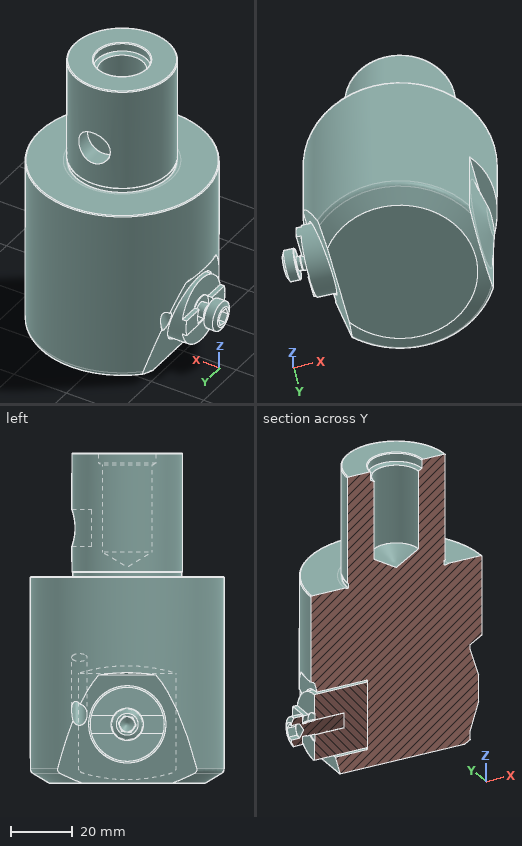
import cadquery as cq
import math

TOTAL_HEIGHT = 107.2
BODY_RADIUS = 31.5
BODY_HEIGHT = 67.2
SHANK_RADIUS = 18.0
RIM_CHAMFER = 0.3

BOTTOM_CONE_RADIUS = 25.2
BOTTOM_CONE_HEIGHT = 3.8
BOTTOM_FILLET = 2.0

RELIEF_DEPTH = 0.3
RELIEF_HEIGHT = 1.5
RELIEF_OUTER_RADIUS = 19.1

BORE_RADIUS = 8.0
BORE_DEPTH = 32.2
BORE_TIP_ANGLE = 118.0
COUNTERBORE_RADIUS = 9.3
COUNTERBORE_DEPTH = 3.2
COUNTERSINK_SLOPE = 30.0

CLAMP_HOLE_RADIUS = 6.0
CLAMP_HOLE_Z = 82.9
CLAMP_HOLE_DEPTH = 6.4

SLANT_ANGLE = 15.0
SLANT_BOTTOM_X = -20.7
SLANT_TOP_Z = 35.2
RAMP_ANGLE = 30.0

FLAT_X = 27.2
FLAT_TOP_Z = 35.7
BUMP_BASE_RADIUS = 14.8
BUMP_TIP_RADIUS = 4.9
BUMP_END_X = 30.3

JET_RADIUS = 2.52
JET_Y = 15.5
JET_Z = 22.3
JET_ANGLE = 60.0
JET_DEPTH = 21.4

AXIS_Z = 19.2
SLIDE_RADIUS = 12.0
SLIDE_CLEARANCE = 0.5
SLIDE_FACE_X = -30.2
SLIDE_INNER_X = -10.7
KEY_HEIGHT = 1.6
KEY_WIDTH = 5.8
RECESS_RADIUS = 4.9
RECESS_DEPTH = 1.9

HEAD_END_X = -38.6
HEAD_RADIUS = 5.3
HEAD_LENGTH = 4.3
HEAD_FACE_RADIUS = 3.5
HEAD_BEVEL = 0.9
HEAD_REAR_CHAMFER = 0.2
NECK_RADIUS = 2.4
NECK_LENGTH = 1.3
THREAD_RADIUS = 2.6
THREAD_CHAMFER = 0.3
SCREW_INNER_X = -19.3
SOCKET_FLATS = 5.0
SOCKET_DEPTH = 3.0
SOCKET_TIP_ANGLE = 120.0
SOCKET_TURN = 8.0

CUT_MARGIN = 5.4
EDGE_MARGIN = 1.1


def tan_deg(angle):
    return math.tan(math.radians(angle))


def rod_along_x(x_start, x_end, radius):
    """Cylinder on the slide axis between two X positions."""
    rod = cq.Workplane("YZ", origin=(x_start, 0, AXIS_Z)).circle(radius)
    return rod.extrude(x_end - x_start)


def revolve_about_z(points):
    """Solid turned from (radius, z) points."""
    return cq.Workplane("XZ").polyline(points).close().revolve(360, (0, 0), (0, 1))


def revolve_about_slide_axis(points):
    """Solid turned from (x, radius) points around the slide axis."""
    profile = cq.Workplane("XZ", origin=(0, 0, AXIS_Z)).polyline(points).close()
    return profile.revolve(360, (0, 0), (1, 0))


def turned_blank():
    body = revolve_about_z([
        (0, 0),
        (BOTTOM_CONE_RADIUS, 0),
        (BODY_RADIUS, BOTTOM_CONE_HEIGHT),
        (BODY_RADIUS, BODY_HEIGHT),
        (0, BODY_HEIGHT),
    ])
    body = body.faces(">Z").chamfer(RIM_CHAMFER)
    half_box = BODY_RADIUS + EDGE_MARGIN
    cone_edge = cq.selectors.BoxSelector(
        (-half_box, -half_box, BOTTOM_CONE_HEIGHT - EDGE_MARGIN),
        (half_box, half_box, BOTTOM_CONE_HEIGHT + EDGE_MARGIN),
        boundingbox=True,
    )
    body = body.edges(cone_edge).fillet(BOTTOM_FILLET)
    shank = cq.Workplane("XY").circle(SHANK_RADIUS).extrude(TOTAL_HEIGHT)
    return body.union(shank.faces(">Z").chamfer(RIM_CHAMFER))


def relief_groove():
    inner_radius = SHANK_RADIUS - RELIEF_DEPTH
    groove_bottom = BODY_HEIGHT - RELIEF_DEPTH
    groove_top = BODY_HEIGHT + RELIEF_HEIGHT
    return revolve_about_z([
        (inner_radius, groove_bottom),
        (SHANK_RADIUS, groove_bottom),
        (RELIEF_OUTER_RADIUS, BODY_HEIGHT),
        (RELIEF_OUTER_RADIUS, groove_top),
        (SHANK_RADIUS, groove_top),
        (inner_radius, groove_top - RELIEF_DEPTH),
    ])


def shank_bore():
    counterbore_z = TOTAL_HEIGHT - COUNTERBORE_DEPTH
    countersink_z = counterbore_z - (COUNTERBORE_RADIUS - BORE_RADIUS) * tan_deg(COUNTERSINK_SLOPE)
    bore_bottom_z = TOTAL_HEIGHT - BORE_DEPTH
    tip_z = bore_bottom_z - BORE_RADIUS / tan_deg(BORE_TIP_ANGLE / 2)
    mouth_radius = COUNTERBORE_RADIUS + RIM_CHAMFER
    return revolve_about_z([
        (0, tip_z),
        (BORE_RADIUS, bore_bottom_z),
        (BORE_RADIUS, countersink_z),
        (COUNTERBORE_RADIUS, counterbore_z),
        (COUNTERBORE_RADIUS, TOTAL_HEIGHT - RIM_CHAMFER),
        (mouth_radius, TOTAL_HEIGHT),
        (0, TOTAL_HEIGHT),
    ])


def clamp_hole():
    hole = cq.Workplane("XZ", origin=(0, SHANK_RADIUS, CLAMP_HOLE_Z)).circle(CLAMP_HOLE_RADIUS)
    return hole.extrude(CLAMP_HOLE_DEPTH)


def slant_x(z):
    """X of the slanted flat at a height."""
    return SLANT_BOTTOM_X - z * tan_deg(SLANT_ANGLE)


def side_cutter(outline):
    """Prism right across the body in Y from (x, z) points."""
    half_length = BODY_RADIUS + CUT_MARGIN
    return cq.Workplane("XZ").polyline(outline).close().extrude(half_length, both=True)


def slant_cutter():
    outer_x = -BODY_RADIUS - CUT_MARGIN
    top_x = slant_x(SLANT_TOP_Z)
    ramp_rise = (top_x - outer_x) * tan_deg(RAMP_ANGLE)
    return side_cutter([
        (slant_x(-CUT_MARGIN), -CUT_MARGIN),
        (top_x, SLANT_TOP_Z),
        (outer_x, SLANT_TOP_Z + ramp_rise),
        (outer_x, -CUT_MARGIN),
    ])


def flat_cutter():
    outer_x = BODY_RADIUS + CUT_MARGIN
    ramp_rise = (outer_x - FLAT_X) * tan_deg(RAMP_ANGLE)
    return side_cutter([
        (FLAT_X, -CUT_MARGIN),
        (FLAT_X, FLAT_TOP_Z),
        (outer_x, FLAT_TOP_Z + ramp_rise),
        (outer_x, -CUT_MARGIN),
    ])


def flat_bump():
    """Low cone standing on the +X flat, rooted in the body."""
    return revolve_about_slide_axis([
        (0, 0),
        (FLAT_X, BUMP_BASE_RADIUS),
        (BUMP_END_X, BUMP_TIP_RADIUS),
        (BUMP_END_X, 0),
    ])


def jet_hole():
    slope = math.radians(JET_ANGLE)
    direction = cq.Vector(math.cos(slope), 0, math.sin(slope))
    mouth = cq.Vector(slant_x(JET_Z), JET_Y, JET_Z)
    start = mouth - direction * CUT_MARGIN
    return cq.Solid.makeCylinder(JET_RADIUS, JET_DEPTH + CUT_MARGIN, start, direction)


def make_housing():
    housing = turned_blank().cut(relief_groove()).cut(shank_bore()).cut(clamp_hole())
    housing = housing.cut(slant_cutter()).cut(flat_cutter()).union(flat_bump())
    slide_pocket = rod_along_x(-BODY_RADIUS - CUT_MARGIN, SLIDE_INNER_X, SLIDE_RADIUS + SLIDE_CLEARANCE)
    return housing.cut(slide_pocket).cut(jet_hole())


def make_slide():
    key_x = SLIDE_FACE_X - KEY_HEIGHT
    plug = rod_along_x(SLIDE_FACE_X, SLIDE_INNER_X, SLIDE_RADIUS)
    key = rod_along_x(key_x, SLIDE_FACE_X, SLIDE_RADIUS)
    key_band = cq.Workplane("XY", origin=(key_x, 0, AXIS_Z)).box(2 * KEY_HEIGHT, 2 * SLIDE_RADIUS, KEY_WIDTH)
    recess = rod_along_x(key_x, key_x + RECESS_DEPTH, RECESS_RADIUS)
    thread_hole = rod_along_x(key_x, SCREW_INNER_X, THREAD_RADIUS)
    return plug.union(key.intersect(key_band)).cut(recess).cut(thread_hole)


def make_screw():
    bevel_x = HEAD_END_X + HEAD_BEVEL
    neck_x = HEAD_END_X + HEAD_LENGTH
    thread_x = neck_x + NECK_LENGTH
    screw = revolve_about_slide_axis([
        (HEAD_END_X, 0),
        (HEAD_END_X, HEAD_FACE_RADIUS),
        (bevel_x, HEAD_RADIUS),
        (neck_x - HEAD_REAR_CHAMFER, HEAD_RADIUS),
        (neck_x, HEAD_RADIUS - HEAD_REAR_CHAMFER),
        (neck_x, NECK_RADIUS),
        (thread_x, NECK_RADIUS),
        (thread_x + THREAD_CHAMFER, THREAD_RADIUS),
        (SCREW_INNER_X, THREAD_RADIUS),
        (SCREW_INNER_X, 0),
    ])
    return screw.cut(hex_socket())


def hex_socket():
    """Hexagon socket with a conical drilled floor."""
    corner_radius = SOCKET_FLATS / math.sqrt(3)
    floor_x = HEAD_END_X + SOCKET_DEPTH
    tip_x = floor_x + SOCKET_FLATS / 2 / tan_deg(SOCKET_TIP_ANGLE / 2)
    hexagon = cq.Workplane("YZ", origin=(HEAD_END_X, 0, AXIS_Z)).polygon(6, 2 * corner_radius)
    hexagon = hexagon.extrude(SOCKET_DEPTH)
    hexagon = hexagon.rotate((0, 0, AXIS_Z), (1, 0, AXIS_Z), SOCKET_TURN)
    drill_tip = revolve_about_slide_axis([
        (floor_x, 0),
        (floor_x, SOCKET_FLATS / 2),
        (tip_x, 0),
    ])
    return hexagon.union(drill_tip)


housing = make_housing()
slide = make_slide()
screw = make_screw()

result = cq.Compound.makeCompound([housing.val(), slide.val(), screw.val()])